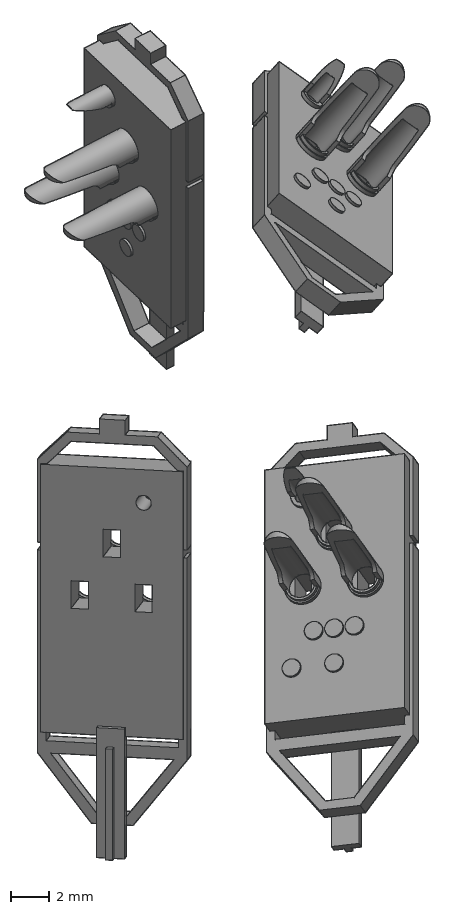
import cadquery as cq
import math


BOARD_WIDTH = 7.63
BOARD_BOTTOM = 6.56
BOARD_TOP = 21.12
BOARD_BACK = 2.15

FRAME_HALF_WIDTH = 4.0
FRAME_FRONT = 1.0
FRAME_BACK = 2.0
GAP_BOTTOM = 16.4
GAP_TOP = 16.83

TOTAL_HEIGHT = 23.7
LUG_WIDTH = 1.37
SHOULDER_Z = 22.9
SHOULDER_HALF_WIDTH = 2.42
UPPER_CORNER_Z = 21.33
UPPER_OPENING_Z = 22.4
UPPER_OPENING_HALF_WIDTH = 2.2
UPPER_OPENING_BASE_HALF_WIDTH = 3.48

LOWER_CORNER_Z = 5.4
LOWER_END_Z = 1.7
LOWER_END_HALF_WIDTH = 1.11
SLOT_HALF_WIDTH = 3.53
SLOT_BOTTOM = 6.07
LOWER_OPENING_TOP = 5.4
LOWER_OPENING_TOP_HALF_WIDTH = 3.3
LOWER_OPENING_BOTTOM = 2.2
LOWER_OPENING_BOTTOM_HALF_WIDTH = 0.78

MAST_WIDTH = 1.5
MAST_TOP = 7.06
MAST_BACK = 2.5
RIB_WIDTH = 0.38
RIB_TOP = 6.05
RIB_BACK = 2.87

LARGE_SIDE_X = 1.7
LARGE_UPPER_Z = 17.02
LARGE_LOWER_Z = 14.13
LARGE_CENTRES = [
    (0, LARGE_UPPER_Z),
    (-LARGE_SIDE_X, LARGE_LOWER_Z),
    (LARGE_SIDE_X, LARGE_LOWER_Z),
]
LARGE_DIAMETER = 1.95
LARGE_BORE = 1.5
LARGE_BORE_DEPTH = 4.1
LARGE_LENGTH = 5.24
COLLAR_DIAMETER = 1.75
COLLAR_LENGTH = 0.43
SKIRT_TOP = 0.1
SKIRT_BOTTOM = -0.2
SKIRT_LENGTH = 1.23
CURVE_MIDDLE = (1.42, 0.1)
CURVE_END = (1.75, 0.25)
LARGE_TIP_Z = 0.65
TIP_RADIUS = 0.83
WINDOW_WIDTH = 0.92

SMALL_CENTRE = (-1.7, 19.32)
SMALL_DIAMETER = 1.25
SMALL_BORE = 0.8
SMALL_BORE_DEPTH = 1.65
SMALL_LENGTH = 2.51
SMALL_STRAIGHT = 0.83
SMALL_TIP_Z = 0.57

RING_LENGTH = 0.21

DISC_DIAMETER = 1.0
DISC_THICKNESS = 0.15
DISC_PITCH = 1.11
DISC_UPPER_Z = 11.55
DISC_LOWER_Z = 9.55
DISC_LOWER_X = -2.32
DISC_CENTRES = [
    (-DISC_PITCH, DISC_UPPER_Z),
    (0, DISC_UPPER_Z),
    (DISC_PITCH, DISC_UPPER_Z),
    (DISC_LOWER_X, DISC_LOWER_Z),
    (0, DISC_LOWER_Z),
]


def block(width, y_front, y_back, z_bottom, z_top):
    """Box centred on X = 0 between the given Y and Z limits."""
    corner = (-width / 2, y_front, z_bottom)
    return cq.Workplane("XY").box(width, y_back - y_front, z_top - z_bottom, centered=False).translate(corner)


def mirrored_plate(right_half):
    """Plate of the frame's thickness; its outline is the given right half and its mirror image."""
    left_half = [(-x, z) for x, z in reversed(right_half)]
    outline = cq.Workplane("XZ", origin=(0, FRAME_BACK, 0)).polyline(right_half + left_half).close()
    return outline.extrude(FRAME_BACK - FRAME_FRONT)


def forward_cylinder(diameter, length):
    """Cylinder on the Y axis, from the board's front face out to -Y."""
    return cq.Workplane("XZ").circle(diameter / 2).extrude(length)


def make_upper_frame():
    outer = mirrored_plate([
        (FRAME_HALF_WIDTH, GAP_TOP),
        (FRAME_HALF_WIDTH, UPPER_CORNER_Z),
        (SHOULDER_HALF_WIDTH, SHOULDER_Z),
    ])
    opening = mirrored_plate([
        (UPPER_OPENING_BASE_HALF_WIDTH, BOARD_TOP),
        (UPPER_OPENING_HALF_WIDTH, UPPER_OPENING_Z),
    ])
    lug = block(LUG_WIDTH, FRAME_FRONT, FRAME_BACK, SHOULDER_Z, TOTAL_HEIGHT)
    return outer.cut(opening).union(lug)


def make_lower_frame():
    outer = mirrored_plate([
        (LOWER_END_HALF_WIDTH, LOWER_END_Z),
        (FRAME_HALF_WIDTH, LOWER_CORNER_Z),
        (FRAME_HALF_WIDTH, GAP_BOTTOM),
    ])
    slot = block(2 * SLOT_HALF_WIDTH, FRAME_FRONT, FRAME_BACK, SLOT_BOTTOM, BOARD_BOTTOM)
    opening = mirrored_plate([
        (LOWER_OPENING_BOTTOM_HALF_WIDTH, LOWER_OPENING_BOTTOM),
        (LOWER_OPENING_TOP_HALF_WIDTH, LOWER_OPENING_TOP),
    ])
    return outer.cut(slot).cut(opening)


def make_mast():
    bar = block(MAST_WIDTH, FRAME_BACK, MAST_BACK, 0, MAST_TOP)
    rib = block(RIB_WIDTH, MAST_BACK, RIB_BACK, 0, RIB_TOP)
    return bar.union(rib)


def make_signal_board():
    """Board, frame and mast in one piece, with an opening behind each hood."""
    board = block(BOARD_WIDTH, 0, BOARD_BACK, BOARD_BOTTOM, BOARD_TOP)
    board = board.union(make_upper_frame()).union(make_lower_frame()).union(make_mast())
    front = cq.Workplane("XZ")
    windows = front.pushPoints(LARGE_CENTRES).rect(WINDOW_WIDTH, LARGE_BORE).extrude(-BOARD_BACK)
    small_hole = front.pushPoints([SMALL_CENTRE]).circle(SMALL_BORE / 2).extrude(-BOARD_BACK)
    return board.cut(windows).cut(small_hole)


def make_large_hood():
    """Large hood with its lamp axis on the Y axis."""
    radius = LARGE_DIAMETER / 2
    profile = (
        cq.Workplane("YZ")
        .moveTo(0, radius)
        .lineTo(0, SKIRT_BOTTOM)
        .lineTo(-SKIRT_LENGTH, SKIRT_BOTTOM)
        .threePointArc((-CURVE_MIDDLE[0], CURVE_MIDDLE[1]), (-CURVE_END[0], CURVE_END[1]))
        .lineTo(-LARGE_LENGTH, LARGE_TIP_Z)
        .lineTo(-LARGE_LENGTH, radius)
        .close()
        .extrude(radius, both=True)
    )
    tip_start = LARGE_LENGTH - TIP_RADIUS
    plan = (
        cq.Workplane("XY")
        .moveTo(-radius, 0)
        .lineTo(-radius, -tip_start)
        .lineTo(-TIP_RADIUS, -tip_start)
        .threePointArc((0, -LARGE_LENGTH), (TIP_RADIUS, -tip_start))
        .lineTo(radius, -tip_start)
        .lineTo(radius, 0)
        .close()
        .extrude(radius, both=True)
    )
    flat_width = 2 * math.sqrt(radius**2 - SKIRT_TOP**2)
    sides = block(flat_width, -LARGE_LENGTH, 0, SKIRT_BOTTOM, SKIRT_TOP)
    arch = forward_cylinder(LARGE_DIAMETER, LARGE_LENGTH).union(sides)
    hood = arch.intersect(profile).intersect(plan)
    ring = forward_cylinder(LARGE_DIAMETER, RING_LENGTH)
    collar = forward_cylinder(COLLAR_DIAMETER, COLLAR_LENGTH)
    solid = hood.union(ring).union(collar)
    solid = solid.intersect(block(flat_width, -LARGE_LENGTH, 0, -radius, radius))
    return solid.cut(forward_cylinder(LARGE_BORE, LARGE_BORE_DEPTH))


def make_small_hood():
    """Small hood with its lamp axis on the Y axis: a half cylinder cut off by a slope."""
    radius = SMALL_DIAMETER / 2
    profile = (
        cq.Workplane("YZ")
        .moveTo(0, radius)
        .lineTo(0, 0)
        .lineTo(-SMALL_STRAIGHT, 0)
        .lineTo(-SMALL_LENGTH, SMALL_TIP_Z)
        .lineTo(-SMALL_LENGTH, radius)
        .close()
        .extrude(radius, both=True)
    )
    hood = forward_cylinder(SMALL_DIAMETER, SMALL_LENGTH).intersect(profile)
    ring = forward_cylinder(SMALL_DIAMETER, RING_LENGTH)
    return hood.union(ring).cut(forward_cylinder(SMALL_BORE, SMALL_BORE_DEPTH))


def place(body, centre):
    """Solid of the body, moved so that its axis meets the board at the given (x, z)."""
    x, z = centre
    return body.translate((x, 0, z)).val()


signal_board = make_signal_board()
small_hood = place(make_small_hood(), SMALL_CENTRE)
large_hoods = [place(make_large_hood(), centre) for centre in LARGE_CENTRES]
discs = [place(forward_cylinder(DISC_DIAMETER, DISC_THICKNESS), centre) for centre in DISC_CENTRES]

result = cq.Compound.makeCompound([signal_board.val(), small_hood, *large_hoods, *discs])